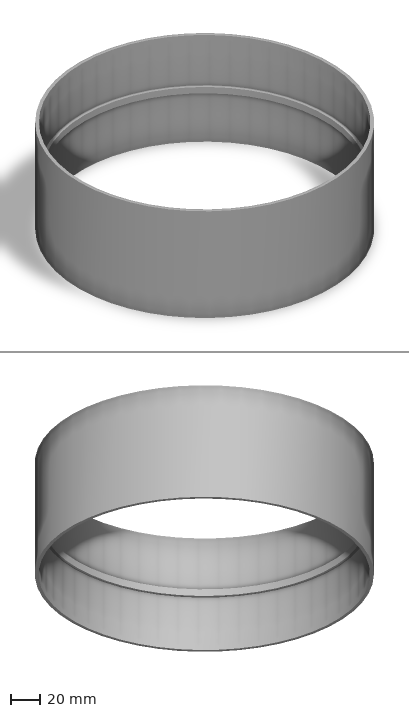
import cadquery as cq

outer_diameter = 230.0
bore_diameter = 225.0
rib_diameter = 220.0
height = 85.0
rib_height = 5.0

rib_bottom = (height - rib_height) / 2


def ring(outside, inside, length, bottom):
    """Plain ring around Z, starting at the given height."""
    return (
        cq.Workplane("XY")
        .workplane(offset=bottom)
        .circle(outside / 2)
        .circle(inside / 2)
        .extrude(length)
    )


sleeve = ring(outer_diameter, bore_diameter, height, 0)

rib = ring(outer_diameter, rib_diameter, rib_height, rib_bottom)

result = sleeve.union(rib)